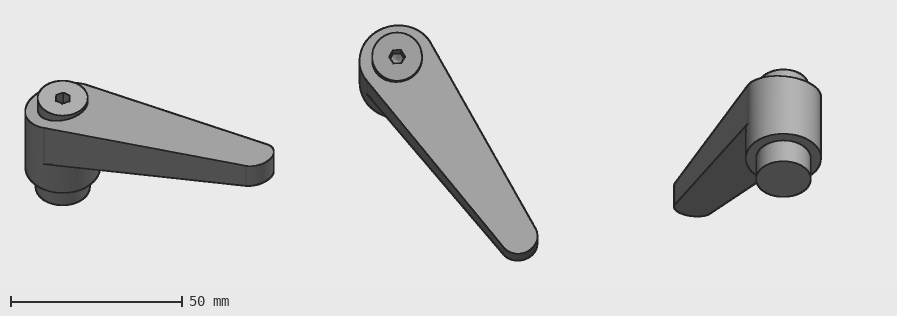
import cadquery as cq
import math

total_length = 85.0
hub_radius = 11.0
tip_radius = 5.5
tip_center_x = total_length - hub_radius - tip_radius

foot_radius = 8.0
foot_height = 8.0

top_slope = math.tan(math.radians(15.0))
under_slope = math.tan(math.radians(20.0))
hub_rear_height = 29.95
under_axis_height = 18.0

head_radius = 7.3
head_top = 36.0
socket_across_flats = 4.0
socket_depth = 4.0
drill_point_angle = 118.0

flank_sin = (hub_radius - tip_radius) / tip_center_x
flank_cos = math.sqrt(1 - flank_sin**2)
hub_tangent = (hub_radius * flank_sin, hub_radius * flank_cos)
tip_tangent = (tip_center_x + tip_radius * flank_sin, tip_radius * flank_cos)
arm_end_x = tip_center_x + tip_radius


def top_height(x):
    """Height of the sloped top face at x."""
    return hub_rear_height + (x + hub_radius) * top_slope


def under_height(x):
    """Height of the sloped arm underside at x."""
    return under_axis_height + x * under_slope


def side_prism(points):
    """Side profile in the XZ plane, extruded across the full width of the hub."""
    return cq.Workplane("XZ").polyline(points).close().extrude(hub_radius, both=True)


def make_hub():
    """Upright cylinder cut off by the sloped top face."""
    cylinder = (
        cq.Workplane("XY")
        .workplane(offset=foot_height)
        .circle(hub_radius)
        .extrude(top_height(hub_radius) - foot_height)
    )
    profile = side_prism([
        (-hub_radius, foot_height),
        (hub_radius, foot_height),
        (hub_radius, top_height(hub_radius)),
        (-hub_radius, top_height(-hub_radius)),
    ])
    return cylinder.intersect(profile)


def make_arm():
    """Tapered, round-tipped arm between the sloped top face and the underside."""
    start_x, start_y = hub_tangent
    outline = (
        cq.Workplane("XY")
        .moveTo(start_x, -start_y)
        .lineTo(tip_tangent[0], -tip_tangent[1])
        .threePointArc((arm_end_x, 0), tip_tangent)
        .lineTo(start_x, start_y)
        .close()
        .extrude(top_height(arm_end_x))
    )
    profile = side_prism([
        (start_x, under_height(start_x)),
        (arm_end_x, under_height(arm_end_x)),
        (arm_end_x, top_height(arm_end_x)),
        (start_x, top_height(start_x)),
    ])
    return outline.intersect(profile)


def make_foot():
    """Narrower cylinder below the hub."""
    return cq.Workplane("XY").circle(foot_radius).extrude(foot_height)


def make_screw_head():
    """Cylindrical head standing out of the sloped top face."""
    return (
        cq.Workplane("XY")
        .workplane(offset=foot_height)
        .circle(head_radius)
        .extrude(head_top - foot_height)
    )


def make_socket():
    """Hexagon socket ending in a conical drill point."""
    corner_radius = socket_across_flats / math.sqrt(3)
    point_depth = corner_radius / math.tan(math.radians(drill_point_angle / 2))
    floor = head_top - socket_depth
    hexagon = (
        cq.Workplane("XY")
        .workplane(offset=floor - point_depth)
        .polygon(6, 2 * corner_radius)
        .extrude(socket_depth + point_depth)
    )
    envelope = (
        cq.Workplane("XZ")
        .moveTo(0, floor - point_depth)
        .lineTo(corner_radius, floor)
        .lineTo(corner_radius, head_top)
        .lineTo(0, head_top)
        .close()
        .revolve(360, (0, 0), (0, 1))
    )
    return hexagon.intersect(envelope)


body = make_hub().union(make_arm()).union(make_foot()).union(make_screw_head())
result = body.cut(make_socket())